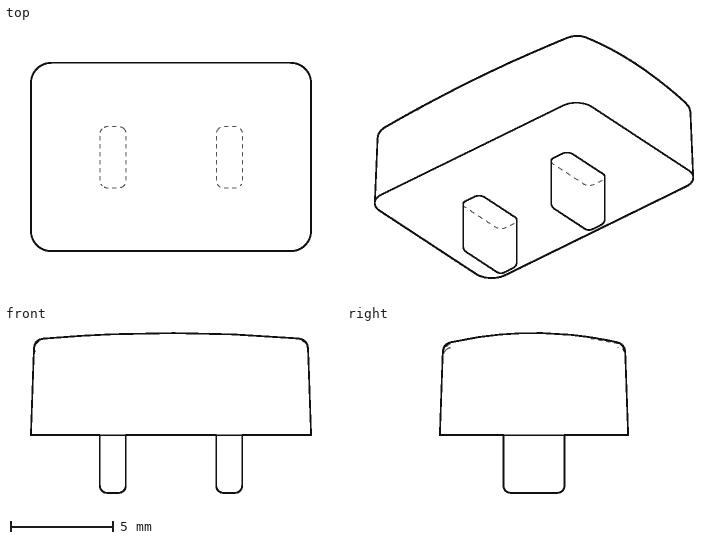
import cadquery as cq

base_length = 13.73
base_width = 9.23
corner_radius = 1.0
draft_angle = 2.0
apex_height = 5.0
dome_radius_x = 72.0
dome_radius_y = 18.5
top_fillet = 0.5

pin_length = 1.28
pin_width = 3.0
pin_depth = 2.84
pin_spacing = 5.7
pin_fillet = 0.36


def drafted_block():
    """Rounded rectangle extruded upwards with draft, past the crown of the dome."""
    return (
        cq.Workplane("XY")
        .sketch()
        .rect(base_length, base_width)
        .vertices()
        .fillet(corner_radius)
        .finalize()
        .extrude(apex_height + top_fillet, taper=draft_angle)
    )


def dome():
    """Ring about an axis parallel to Y whose outer face is the doubly curved top."""
    half_width = base_width / 2 + corner_radius
    edge_drop = dome_radius_y - (dome_radius_y**2 - half_width**2) ** 0.5
    edge_height = apex_height - edge_drop
    floor = -apex_height
    axis_height = apex_height - dome_radius_x
    return (
        cq.Workplane("YZ")
        .moveTo(-half_width, floor)
        .lineTo(-half_width, edge_height)
        .threePointArc((0, apex_height), (half_width, edge_height))
        .lineTo(half_width, floor)
        .close()
        .revolve(axisStart=(0, axis_height), axisEnd=(1, axis_height))
    )


def cap():
    """Drafted block trimmed by the dome, with the rim of the top rounded over."""
    return drafted_block().intersect(dome()).faces(">Z").edges().fillet(top_fillet)


def pin(x):
    """Rectangular pin hanging from the underside, rounded on its sides and tip."""
    return (
        cq.Workplane("XY")
        .center(x, 0)
        .rect(pin_length, pin_width)
        .extrude(-pin_depth)
        .edges("|Z")
        .fillet(pin_fillet)
        .faces("<Z")
        .edges()
        .fillet(pin_fillet)
    )


result = cap()
for side in (-1, 1):
    result = result.union(pin(side * pin_spacing / 2))